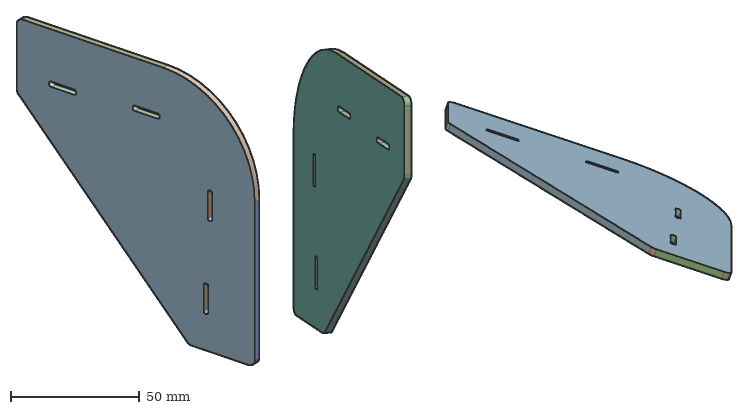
import cadquery as cq

side = 116.8
thickness = 3.0
short_edge = 32.2
corner_radius = 3.0
large_radius = 45.0
slot_length = 13.3
slot_width = 2.2

top_slots = [(22.5, 24.0), (63.5, 22.0)]


def make_plate():
    """Square plate with one corner cut at 45 degrees and all corners rounded."""
    plate = (
        cq.Workplane("XZ")
        .moveTo(0, side)
        .lineTo(side, side)
        .lineTo(side, 0)
        .lineTo(side - short_edge, 0)
        .lineTo(0, side - short_edge)
        .close()
        .extrude(-thickness)
    )
    large_corner = cq.selectors.NearestToPointSelector((side, thickness / 2, side))
    plate = plate.edges(large_corner).fillet(large_radius)
    seam = side - large_radius
    sharp_corners = plate.edges("|Y").filter(
        lambda edge: abs(edge.Center().x - seam) > 0.01 and abs(edge.Center().z - seam) > 0.01
    )
    return sharp_corners.fillet(corner_radius)


def slot_cutter(x, z, angle):
    """Through slot centred at (x, z), turned by angle from the X direction."""
    return (
        cq.Workplane("XZ")
        .center(x, z)
        .slot2D(slot_length, slot_width, angle)
        .extrude(-thickness)
    )


result = make_plate()
for along, inset in top_slots:
    result = result.cut(slot_cutter(along, side - inset, 0))
    result = result.cut(slot_cutter(side - inset, along, 90))